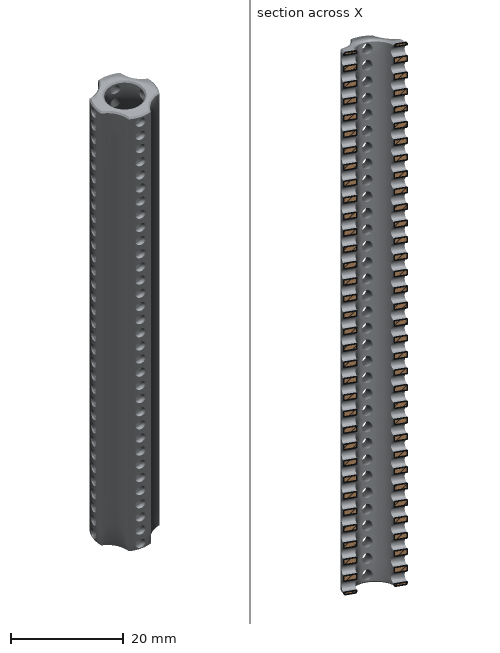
import cadquery as cq
import math

pitch = 3.125
hole_rows = 33
hole_diameter = 2.0
lobe_diameter = 12.5
lobe_half_width = 2.22
valley_radius = 5.0
bore_diameter = 7.2
edge_chamfer = 0.3

length = pitch * hole_rows
first_hole_height = pitch / 2
lobe_radius = lobe_diameter / 2
corner_reach = math.sqrt(lobe_radius**2 - lobe_half_width**2)
lobe_count = 4
lobe_step = 360 / lobe_count


def polar_point(radius, angle):
    """Point at the given radius and angle (degrees) around the tube axis."""
    return (radius * math.cos(math.radians(angle)), radius * math.sin(math.radians(angle)))


def lobed_bar():
    """Solid bar with four rounded lobes joined by concave flutes."""
    half_angle = math.degrees(math.atan2(lobe_half_width, corner_reach))
    outline = cq.Workplane("XY").moveTo(*polar_point(lobe_radius, -half_angle))
    for lobe in range(lobe_count):
        angle = lobe * lobe_step
        tip = polar_point(lobe_radius, angle)
        lobe_end = polar_point(lobe_radius, angle + half_angle)
        valley = polar_point(valley_radius, angle + lobe_step / 2)
        next_lobe = polar_point(lobe_radius, angle + lobe_step - half_angle)
        outline = outline.threePointArc(tip, lobe_end).threePointArc(valley, next_lobe)
    return outline.close().extrude(length)


def cross_holes(plane):
    """Row of holes running right through the tube, normal to the given plane."""
    centers = [(0, first_hole_height + row * pitch) for row in range(hole_rows)]
    return (
        cq.Workplane(plane)
        .pushPoints(centers)
        .circle(hole_diameter / 2)
        .extrude(lobe_diameter, both=True)
    )


def lobed_tube():
    """Lobed bar with a round bore, chamfered on every edge of both end faces."""
    bore = cq.Workplane("XY").circle(bore_diameter / 2).extrude(length)
    tube = lobed_bar().cut(bore)
    return tube.faces("<Z or >Z").edges().chamfer(edge_chamfer)


result = lobed_tube().cut(cross_holes("XZ")).cut(cross_holes("YZ"))